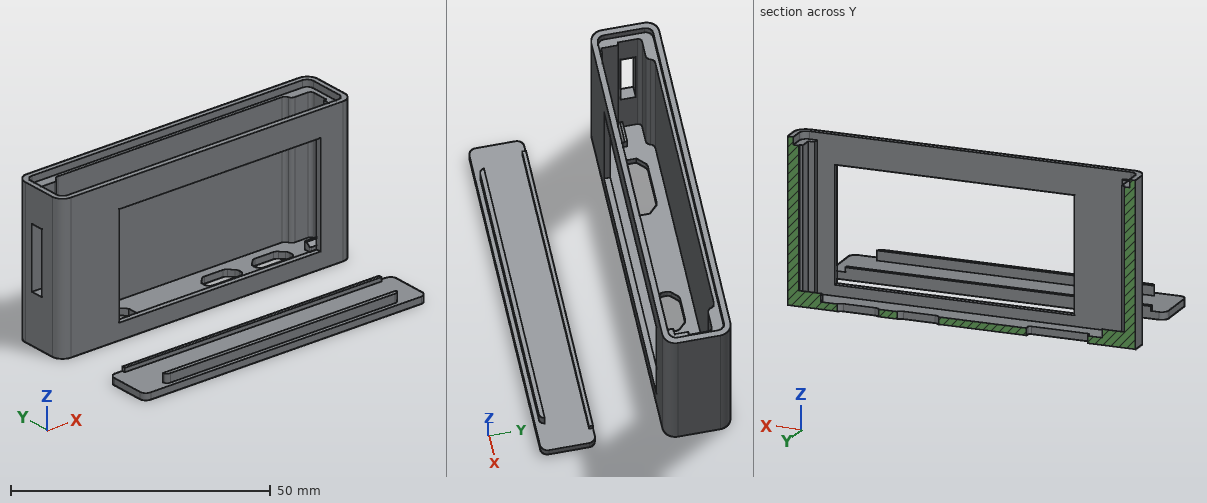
import cadquery as cq
import math

LENGTH = 72.5
DEPTH = 13.4
HEIGHT = 34.35
CORNER_R = 2.55
FLOOR = 1.6
FRONT_WALL = 1.2
BACK_Y = DEPTH / 2
FRONT_Y = -DEPTH / 2

RIM_WALL = 1.2
RECESS_DEPTH = 1.6
RECESS_R = 1.5

CAVITY_HALF = 33.85
CAVITY_CORNER_R = 0.8
SHOULDER_HALF = 33.2
SHOULDER_FROM_BACK = 8.2
FRONT_HALF = 31.9
LEFT_POST_FROM_BACK = 11.6
RIGHT_POST_FROM_BACK = 10.9
BACK_WALL = 2.0
THICK_BACK_WALL = 3.55
BACK_POCKET_HALF = 27.75
STEP_RUN = 2.0
STEP_RISE = THICK_BACK_WALL - BACK_WALL

WINDOW_LEFT = -21.7
WINDOW_RIGHT = 28.2
WINDOW_BOTTOM = 3.85
WINDOW_TOP = 28.2

SLOT_FROM_BACK = 4.65
SLOT_WIDTH = 3.0
SLOT_BOTTOM = 11.6
SLOT_HEIGHT = 14.6

PORT_FROM_BACK = 4.3
WIDE_PORT_X = -19.85
WIDE_PORT_SIZE = (12.75, 4.8)
WIDE_PORT_CHAMFER = 1.8
WIDE_PORT_TOP_R = 1.0
WIDE_PORT_BOTTOM_R = 0.5
SMALL_PORT_XS = (9.05, 21.6)
SMALL_PORT_SIZE = (9.05, 4.05)
SMALL_PORT_CHAMFER = 1.75
SMALL_PORT_R = 1.2

STOP_INNER_X = 29.3
STOP_FROM_BACK = 7.25
STOP_TOP_WIDTH = 0.5
STOP_WIDTH = 1.6
STOP_HEIGHT = 1.8
STOP_FRONT_HEIGHT = 1.0
STOP_EDGE_R = 0.3

OVERALL_DEPTH = 37.5
LID_LENGTH = 69.95
LID_DEPTH = 10.8
LID_THICKNESS = RECESS_DEPTH
LID_CORNER_R = 1.45
LID_X = 0.15
LID_FRONT_Y = BACK_Y - OVERALL_DEPTH
LID_BACK_Y = LID_FRONT_Y + LID_DEPTH
TONGUE_HALF = 31.8
TONGUE_WIDTH = 0.8
TONGUE_HEIGHT = 0.95
RIB_FROM_FRONT = 0.95
RIB_WIDTH = 0.95
RIB_HEIGHT = 2.0
RIB_HALF = 27.8

SELECT_TOLERANCE = 0.1


def block(x0, x1, y0, y1, z0, z1):
    """Box between two opposite corners."""
    return cq.Workplane("XY").box(x1 - x0, y1 - y0, z1 - z0, centered=False).translate((x0, y0, z0))


def edges_near_y(y):
    """Selector for edges whose centre lies at the given Y."""
    return cq.selectors.BoxSelector(
        (-LENGTH, y - SELECT_TOLERANCE, 0),
        (LENGTH, y + SELECT_TOLERANCE, HEIGHT),
    )


def stepped_prism(y_narrow, inward, narrow_half, outer_half, y_far, z0, height):
    """Prism with a straight edge at y_narrow, S-shaped ends, then straight sides to y_far.

    The S of two equal tangent arcs widens the outline by STEP_RUN at each end while
    it moves by STEP_RISE towards `inward` (+1 or -1 along Y).
    """
    turn = 2 * math.atan2(STEP_RISE, STEP_RUN)
    radius = STEP_RUN / (2 * math.sin(turn))
    near_x = radius * math.sin(turn / 2)
    near_y = radius * (1 - math.cos(turn / 2))

    def point(side, dx, dy):
        return (side * (narrow_half + dx), y_narrow + inward * dy)

    s_points = [
        (0, 0),
        (near_x, near_y),
        (STEP_RUN / 2, STEP_RISE / 2),
        (STEP_RUN - near_x, STEP_RISE - near_y),
        (STEP_RUN, STEP_RISE),
    ]
    left = [point(-1, *p) for p in s_points]
    right = [point(1, *p) for p in reversed(s_points)]
    outline = (
        cq.Workplane("XY", origin=(0, 0, z0))
        .moveTo(*left[0])
        .threePointArc(left[1], left[2])
        .threePointArc(left[3], left[4])
        .lineTo(-outer_half, left[4][1])
        .lineTo(-outer_half, y_far)
        .lineTo(outer_half, y_far)
        .lineTo(outer_half, right[0][1])
        .lineTo(*right[0])
        .threePointArc(right[1], right[2])
        .threePointArc(right[3], right[4])
        .close()
    )
    return outline.extrude(height)


def lid_recess():
    length = LENGTH - 2 * RIM_WALL
    depth = DEPTH - RIM_WALL - FRONT_WALL
    recess = block(-length / 2, length / 2, FRONT_Y + FRONT_WALL, FRONT_Y + FRONT_WALL + depth,
                   HEIGHT - RECESS_DEPTH, HEIGHT)
    return recess.edges("|Z").fillet(RECESS_R)


def cavity():
    """Space between the floor and the recess, narrowing towards the front."""
    shoulder_y = BACK_Y - SHOULDER_FROM_BACK
    inner_front_y = FRONT_Y + FRONT_WALL
    top = HEIGHT - RECESS_DEPTH
    rear = stepped_prism(BACK_Y - BACK_WALL, -1, BACK_POCKET_HALF, CAVITY_HALF, shoulder_y,
                         FLOOR, top - FLOOR)
    rear_corners = edges_near_y(BACK_Y - THICK_BACK_WALL)
    rear = rear.edges("|Z").edges("<X or >X").edges(rear_corners).fillet(CAVITY_CORNER_R)
    left_post_y = BACK_Y - LEFT_POST_FROM_BACK
    right_post_y = BACK_Y - RIGHT_POST_FROM_BACK
    front = (
        cq.Workplane("XY", origin=(0, 0, FLOOR))
        .polyline([
            (-SHOULDER_HALF, shoulder_y),
            (-SHOULDER_HALF, left_post_y),
            (-FRONT_HALF, left_post_y),
            (-FRONT_HALF, inner_front_y),
            (FRONT_HALF, inner_front_y),
            (FRONT_HALF, right_post_y),
            (SHOULDER_HALF, right_post_y),
            (SHOULDER_HALF, shoulder_y),
        ])
        .close()
        .extrude(top - FLOOR)
    )
    return rear.union(front)


def port(x, size, chamfer, top_r, side_r, bottom_r):
    """Connector opening with its two back corners cut at 45 degrees and all corners rounded."""
    width, depth = size
    back = BACK_Y - PORT_FROM_BACK
    cutter = block(x - width / 2, x + width / 2, back - depth, back, 0, FLOOR)
    cutter = cutter.edges("|Z and >Y").chamfer(chamfer)
    cutter = cutter.edges("|Z and <Y").fillet(bottom_r)
    cutter = cutter.edges("|Z and >Y").fillet(top_r)
    if side_r:
        cutter = cutter.edges("|Z").edges(edges_near_y(back - chamfer)).fillet(side_r)
    return cutter


def stop(side):
    """Wedge-topped stop from one end wall (side = -1 or +1) inwards."""
    back = BACK_Y - STOP_FROM_BACK
    wedge = (
        cq.Workplane("YZ")
        .polyline([
            (back, 0),
            (back, STOP_HEIGHT),
            (back - STOP_TOP_WIDTH, STOP_HEIGHT),
            (back - STOP_WIDTH, STOP_FRONT_HEIGHT),
            (back - STOP_WIDTH, 0),
        ])
        .close()
        .extrude(side * (CAVITY_HALF - STOP_INNER_X))
        .translate((side * STOP_INNER_X, 0, FLOOR))
    )
    inner = "<X" if side > 0 else ">X"
    return wedge.edges("|Z and <Y").edges(inner).fillet(STOP_EDGE_R)


def make_housing():
    shell = block(-LENGTH / 2, LENGTH / 2, FRONT_Y, BACK_Y, 0, HEIGHT)
    shell = shell.edges("|Z").fillet(CORNER_R)
    shell = shell.cut(lid_recess()).cut(cavity())
    shell = shell.cut(block(WINDOW_LEFT, WINDOW_RIGHT, FRONT_Y, FRONT_Y + FRONT_WALL,
                            WINDOW_BOTTOM, WINDOW_TOP))
    slot_y = BACK_Y - SLOT_FROM_BACK
    shell = shell.cut(block(-LENGTH / 2, -CAVITY_HALF, slot_y - SLOT_WIDTH, slot_y,
                            SLOT_BOTTOM, SLOT_BOTTOM + SLOT_HEIGHT))
    shell = shell.cut(port(WIDE_PORT_X, WIDE_PORT_SIZE, WIDE_PORT_CHAMFER,
                           WIDE_PORT_TOP_R, 0, WIDE_PORT_BOTTOM_R))
    for x in SMALL_PORT_XS:
        shell = shell.cut(port(x, SMALL_PORT_SIZE, SMALL_PORT_CHAMFER,
                               SMALL_PORT_R, SMALL_PORT_R, SMALL_PORT_R))
    for side in (-1, 1):
        shell = shell.union(stop(side))
    return shell


def make_lid():
    plate = block(-LID_LENGTH / 2, LID_LENGTH / 2, LID_FRONT_Y, LID_BACK_Y, 0, LID_THICKNESS)
    plate = plate.edges("|Z").fillet(LID_CORNER_R)
    tongue = block(-TONGUE_HALF, TONGUE_HALF, LID_BACK_Y - TONGUE_WIDTH, LID_BACK_Y,
                   LID_THICKNESS, LID_THICKNESS + TONGUE_HEIGHT)
    rib_front_y = LID_FRONT_Y + RIB_FROM_FRONT
    rib = stepped_prism(rib_front_y, 1, RIB_HALF, CAVITY_HALF, LID_BACK_Y,
                        LID_THICKNESS, RIB_HEIGHT)
    rib = rib.intersect(block(-LENGTH, LENGTH, rib_front_y, rib_front_y + RIB_WIDTH, 0, HEIGHT))
    return plate.union(tongue).union(rib).translate((LID_X, 0, 0))


housing = make_housing()
lid = make_lid()
result = cq.Compound.makeCompound([housing.val(), lid.val()])